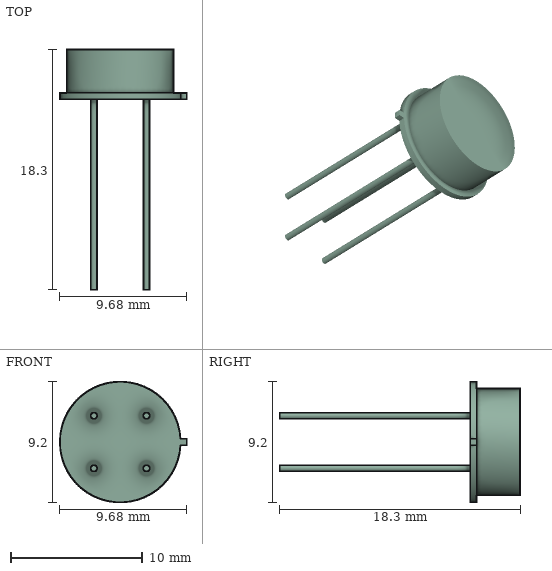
import cadquery as cq

flange_diameter = 9.2
flange_thickness = 0.5
cap_diameter = 8.15
body_height = 3.81
lead_diameter = 0.485
overall_length = 18.3
lead_length = overall_length - body_height
lead_pitch = 4.0
tab_width = 0.5
tab_reach = 5.08



def cylinder_along_y(diameter, y_start, y_end, x=0.0, z=0.0):
    """Solid cylinder parallel to Y between two Y positions."""
    return cq.Workplane(
        cq.Solid.makeCylinder(
            diameter / 2,
            y_end - y_start,
            cq.Vector(x, y_start, z),
            cq.Vector(0, 1, 0),
        )
    )


def make_can():
    """Flange disc with the smaller cap standing on it."""
    flange = cylinder_along_y(flange_diameter, 0, flange_thickness)
    cap = cylinder_along_y(cap_diameter, 0, body_height)
    return flange.union(cap)


def make_tab():
    """Index tab on the +X side, started at the axis so it merges with the flange."""
    return cq.Workplane("XY").box(
        tab_reach, flange_thickness, tab_width, centered=(False, False, True)
    )


def add_leads(body):
    """Four leads, each rooted inside the flange."""
    offset = lead_pitch / 2
    for x in (-offset, offset):
        for z in (-offset, offset):
            lead = cylinder_along_y(lead_diameter, -lead_length, flange_thickness, x, z)
            body = body.union(lead)
    return body


result = add_leads(make_can().union(make_tab()))